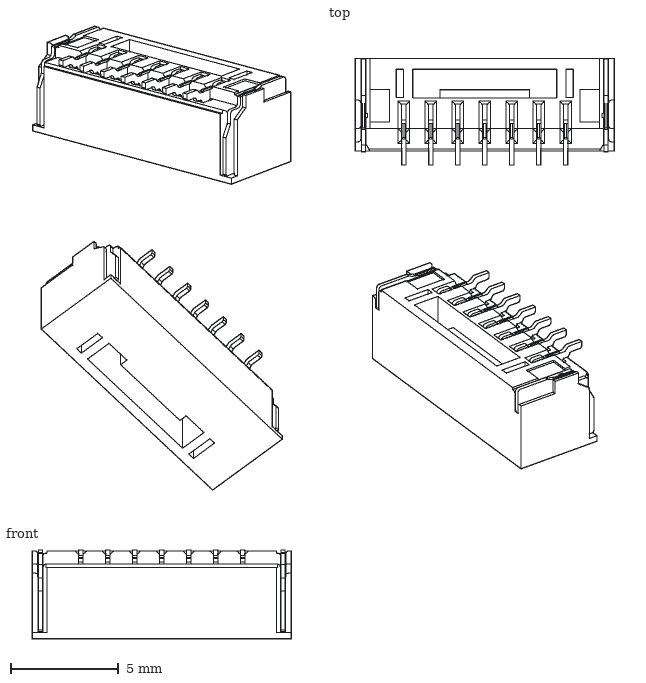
import cadquery as cq

length = 12.0
depth = 4.3
deck_z = 4.07
ledge_z = 3.47
deck_front = 1.05
step_depth = 0.11
step_z = 3.3

plate_thickness = 0.26
plate_round = 0.15
plate_front = 0.43
plate_slant_z = 3.04
plate_low_z = 3.41
plate_low_front = 2.36
base_z = 0.3
core_half = 5.32
wall_half = 5.5
wall_drop = 0.11
wall_round = 0.12
ledge_round = 0.18
wall_bevel = 0.19
wall_bevel_run = 0.31
web_front = 0.96
web_z = 2.88
trench_rib_y = 1.65
trench_rib_width = 0.19
trench_rib_z = 3.95

clip_width = 0.19
clip_center = 5.62
clip_top = 4.12
clip_back = depth - 0.02
clip_front = -0.04
clip_bottom = 0.34
clip_foot = 0.07
clip_neck_front = 0.29
clip_shoulder_y = 1.01
clip_shoulder_z = 3.45
clip_inner_bend = 0.18
clip_outer_bend = 0.17
clip_root_z = 2.4
clip_root_y = 1.2
clip_round = 0.17
clip_waist_z = 4.0
clip_bevel = 0.05

pin_count = 7
pin_pitch = 1.25
pin_width = 0.22
pin_tip_y = -0.65
pin_top = 4.12
pin_under = 3.77
pin_back = 2.18
pin_back_top = 4.05
pin_back_round = 0.19
pin_root_front = 0.47
pin_bend = 0.17
pin_root_z = 2.4
hump_z = 3.97
hump_back = 1.28
hump_front = 0.56
hump_bevel = 0.06
seat_z = 3.9

funnel_width = 0.54
funnel_depth = (funnel_width - pin_width) / 2
funnel_front = 0.36
funnel_back = 2.32

window_back = 3.79
window_front = 2.47
window_length = 6.65
tongue_length = 4.15
tongue_back = 2.85
tongue_z = 3.0
slot_x = 3.92
slot_width = 0.32
slot_front = 2.5
pocket_inner = 4.42
pocket_front = 1.35
pocket_back = 2.87
pocket_depth = 0.1


def block(x0, x1, y0, y1, z0, z1):
    """Box given by its limits along X, Y and Z."""
    return cq.Workplane("XY").box(x1 - x0, y1 - y0, z1 - z0, centered=False).translate((x0, y0, z0))


def side_profile(start):
    """Start a Y-Z outline at a point."""
    return cq.Workplane("YZ").moveTo(*start)


def pin_positions():
    """X of each contact, evenly spaced about the middle."""
    return [(i - (pin_count - 1) / 2) * pin_pitch for i in range(pin_count)]


def cut_funnels(body, top_z, back):
    """Sink one tapered slot per contact, reaching back to Y = back, into a face at top_z."""
    middle = (funnel_front + back) / 2
    funnels = (
        cq.Workplane("XY", origin=(0, middle, top_z))
        .pushPoints([(x, 0) for x in pin_positions()])
        .rect(funnel_width, back - funnel_front)
        .extrude(-funnel_depth, taper=45)
    )
    return body.cut(funnels)


def make_core():
    """Central housing: rear deck and front ledge with their contact slots."""
    deck = block(-core_half, core_half, deck_front, depth, 0, deck_z)
    ledge = block(-core_half, core_half, 0, deck_front, 0, ledge_z)
    deck = cut_funnels(deck, deck_z, funnel_back)
    ledge = cut_funnels(ledge, ledge_z, deck_front)
    return deck.union(ledge)


def make_plate():
    """Side plate at the -X end, rounded along its inner upper and front edges."""
    plate = (
        side_profile((depth, 0))
        .lineTo(depth, plate_low_z)
        .lineTo(plate_low_front, plate_low_z)
        .lineTo(plate_low_front, deck_z)
        .lineTo(deck_front, deck_z)
        .lineTo(deck_front, ledge_z)
        .lineTo(plate_front, plate_slant_z)
        .lineTo(plate_front, 0)
        .close()
        .extrude(plate_thickness)
    )
    rounded = cq.selectors.BoxSelector(
        (plate_thickness - 0.01, plate_front - 0.12, 0.12), (plate_thickness + 0.01, depth - 0.12, deck_z + 0.12)
    )
    return plate.edges(rounded).fillet(plate_round).translate((-length / 2, 0, 0))


def make_inner_wall():
    """Low rounded wall between the -X trench and the core."""
    inner = -core_half + wall_bevel
    rear = block(-wall_half, inner, deck_front, depth, 0, deck_z - wall_drop)
    rear = rear.edges("|Y and <X and >Z").fillet(wall_round)
    front = block(-wall_half, inner, 0, deck_front, 0, ledge_z)
    front = front.edges("|Y and <X and >Z").fillet(ledge_round)
    front_bevel = (
        cq.Workplane("XY", origin=(0, 0, base_z))
        .polyline([(-wall_half, 0), (-wall_half + wall_bevel, 0), (-wall_half, wall_bevel_run)])
        .close()
        .extrude(ledge_z)
    )
    return rear.union(front.cut(front_bevel))


def make_clip():
    """Bent sheet-metal clip standing in the -X trench."""
    clip = (
        side_profile((clip_back, clip_root_z))
        .lineTo(clip_back, clip_top - clip_round)
        .radiusArc((clip_back - clip_round, clip_top), -clip_round)
        .lineTo(2.58, clip_top)
        .lineTo(2.4, 4.03)
        .lineTo(2.22, clip_waist_z)
        .lineTo(1.07, clip_waist_z)
        .lineTo(clip_shoulder_y, 3.94)
        .lineTo(clip_shoulder_y, clip_shoulder_z + clip_inner_bend)
        .radiusArc((clip_shoulder_y - clip_inner_bend, clip_shoulder_z), clip_inner_bend)
        .lineTo(clip_neck_front + clip_outer_bend, clip_shoulder_z)
        .radiusArc((clip_neck_front, clip_shoulder_z - clip_outer_bend), -clip_outer_bend)
        .lineTo(clip_neck_front, 2.81)
        .lineTo(clip_front, 2.21)
        .lineTo(clip_front, clip_bottom + clip_foot)
        .lineTo(clip_front + clip_foot, clip_bottom)
        .lineTo(clip_root_y, clip_bottom)
        .lineTo(clip_root_y, clip_root_z)
        .close()
        .extrude(clip_width / 2, both=True)
    )
    waist = cq.selectors.BoxSelector((-0.12, 1.08, clip_waist_z - 0.01), (0.12, 2.16, clip_waist_z + 0.01))
    clip = clip.edges("|Y").edges(waist).chamfer(clip_bevel)
    return clip.translate((-clip_center, 0, 0))


def make_end():
    """Everything outboard of the core at the -X end."""
    base = block(-length / 2, -core_half, 0, depth, 0, base_z)
    web = block(-length / 2, -core_half, web_front, depth, 0, web_z)
    rib = block(
        -clip_center, -core_half,
        trench_rib_y - trench_rib_width / 2, trench_rib_y + trench_rib_width / 2,
        0, trench_rib_z,
    )
    end = base.union(web).union(rib)
    return end.union(make_plate()).union(make_inner_wall()).union(make_clip())


def make_pin():
    """Contact with a raised solder tail, seated in its slot."""
    pin = (
        side_profile((pin_back, pin_root_z))
        .lineTo(pin_back, pin_back_top - pin_back_round)
        .radiusArc((pin_back - pin_back_round, pin_back_top), -pin_back_round)
        .lineTo(1.63, pin_back_top)
        .radiusArc((1.45, seat_z), -0.2)
        .lineTo(0.4, seat_z)
        .radiusArc((0.28, 3.95), pin_bend)
        .lineTo(0.15, 4.07)
        .radiusArc((0.04, pin_top), -pin_bend)
        .lineTo(pin_tip_y, pin_top)
        .lineTo(pin_tip_y, 3.86)
        .lineTo(-0.58, pin_under)
        .lineTo(-0.1, pin_under)
        .radiusArc((0.02, 3.72), pin_bend)
        .lineTo(0.12, 3.55)
        .lineTo(0.38, 3.55)
        .lineTo(pin_root_front, ledge_z)
        .lineTo(pin_root_front, pin_root_z)
        .close()
        .extrude(pin_width / 2, both=True)
    )
    hump = block(-pin_width / 2, pin_width / 2, hump_front, hump_back, seat_z, hump_z)
    return pin.union(hump.faces(">Z").edges("|Y or <Y").chamfer(hump_bevel))


def cut_openings(body):
    """Through window with its tongue, two narrow slots and two shallow pockets."""
    half_window = window_length / 2
    half_tongue = tongue_length / 2
    body = body.cut(block(-half_window, half_window, window_front, window_back, 0, deck_z))
    body = body.union(block(-half_tongue, half_tongue, window_front, tongue_back, 0, tongue_z))
    for x in (-slot_x, slot_x):
        slot_x0 = x - slot_width / 2
        body = body.cut(block(slot_x0, slot_x0 + slot_width, slot_front, window_back, 0, deck_z))
    pocket_z = deck_z - pocket_depth
    for x0, x1 in ((-core_half, -pocket_inner), (pocket_inner, core_half)):
        body = body.cut(block(x0, x1, pocket_front, pocket_back, pocket_z, deck_z))
    return body


housing = cut_openings(make_core())
end = make_end()
result = housing.union(end).union(end.mirror("YZ"))
result = result.cut(block(-wall_half, wall_half, 0, step_depth, step_z, ledge_z))
pin = make_pin()
for x in pin_positions():
    result = result.union(pin.translate((x, 0, 0)))